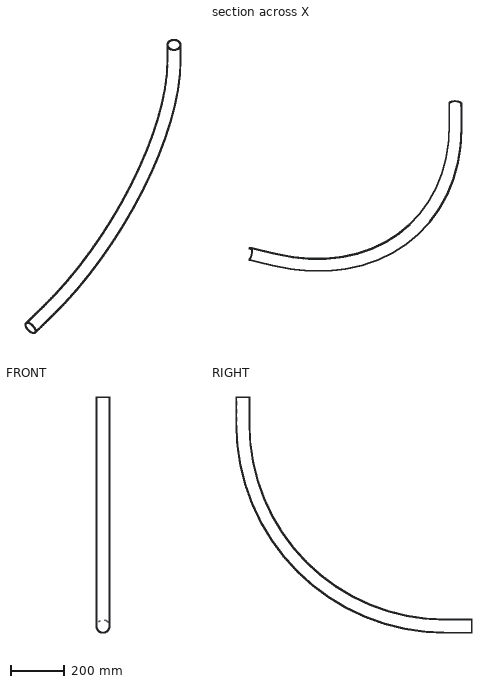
import cadquery as cq

outer_diameter = 50.8
inner_diameter = 46.58
bend_radius = 762.0
straight_length = 101.6
bend_angle = 90.0


def tube_section(workplane):
    """Ring-shaped cross-section of the tube, centred on the workplane origin."""
    return workplane.circle(outer_diameter / 2).circle(inner_diameter / 2)


def upright_end():
    """Vertical straight end, rising from the top of the bend."""
    return tube_section(cq.Workplane("XY")).extrude(straight_length)


def bend():
    """Quarter-turn from vertical (at the origin) down to horizontal along +Y."""
    axis_start = (0, bend_radius)
    axis_end = (1, bend_radius)
    return tube_section(cq.Workplane("XY")).revolve(bend_angle, axis_start, axis_end)


def horizontal_end():
    """Straight end running along +Y from the bottom of the bend."""
    bend_exit = (0, bend_radius, -bend_radius)
    exit_plane = cq.Plane(origin=bend_exit, xDir=(1, 0, 0), normal=(0, 1, 0))
    return tube_section(cq.Workplane(exit_plane)).extrude(straight_length)


result = bend().union(upright_end()).union(horizontal_end())